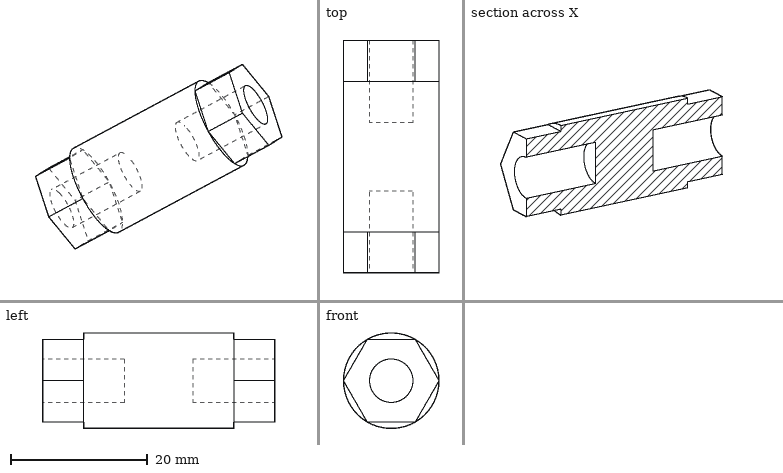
import cadquery as cq

body_diameter = 14.0
body_length = 22.0
hex_across_corners = body_diameter
hex_length = 6.0
hole_diameter = 6.35
hole_depth = 12.0

total_length = body_length + 2 * hex_length
front_y = -total_length / 2


def section_plane(y):
    """Plane at the given Y, with its normal along +Y."""
    return cq.Workplane(cq.Plane(origin=(0, y, 0), xDir=(1, 0, 0), normal=(0, 1, 0)))


def round_bar(y, diameter, length):
    """Cylinder on the part's axis, starting at y and running toward +Y."""
    return section_plane(y).circle(diameter / 2).extrude(length)


def hex_end(y):
    """Hexagonal end with corners on the X axis, starting at y."""
    return section_plane(y).polygon(6, hex_across_corners).extrude(hex_length)


body_start = front_y + hex_length
body = round_bar(body_start, body_diameter, body_length)
for end_start in (front_y, body_start + body_length):
    body = body.union(hex_end(end_start))

for hole_start in (front_y, -front_y - hole_depth):
    body = body.cut(round_bar(hole_start, hole_diameter, hole_depth))

result = body